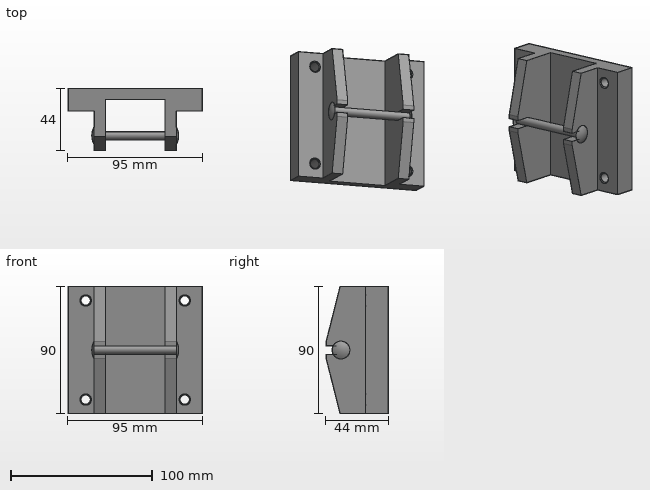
import cadquery as cq

plate_width = 95.0
plate_height = 90.0
plate_thickness = 16.0

channel_width = 42.0
channel_floor_thickness = 8.0

cheek_thickness = 8.0
cheek_reach = 44.0
cheek_end_reach = 34.15
cheek_nose_height = 12.0
cheek_span = channel_width + 2 * cheek_thickness

pin_diameter = 6.0
pin_distance = 33.5
head_diameter = 12.6
head_height = 1.75

hole_spacing = 70.0
hole_diameter = 6.6
countersink_diameter = 8.0
countersink_angle = 90.0


def make_plate():
    return cq.Workplane("XY").box(
        plate_width, plate_thickness, plate_height, centered=(True, False, True)
    ).translate((0, -plate_thickness, 0))


def make_cheek_block():
    """Solid block with the tapered side profile, as wide as both cheeks and the channel."""
    half_height = plate_height / 2
    half_nose = cheek_nose_height / 2
    profile = [
        (-channel_floor_thickness, -half_height),
        (-cheek_end_reach, -half_height),
        (-cheek_reach, -half_nose),
        (-cheek_reach, half_nose),
        (-cheek_end_reach, half_height),
        (-channel_floor_thickness, half_height),
    ]
    return cq.Workplane("YZ").polyline(profile).close().extrude(cheek_span / 2, both=True)


def make_channel():
    depth = cheek_reach - channel_floor_thickness
    return cq.Workplane("XY").box(
        channel_width, depth, plate_height, centered=(True, False, True)
    ).translate((0, -cheek_reach, 0))


def make_pin_slot():
    """Cutter for the round-ended slot, open at the cheek noses."""
    radius = pin_diameter / 2
    return (
        cq.Workplane("YZ")
        .moveTo(-cheek_reach, -radius)
        .lineTo(-pin_distance, -radius)
        .threePointArc((-pin_distance + radius, 0), (-pin_distance, radius))
        .lineTo(-cheek_reach, radius)
        .close()
        .extrude(cheek_span / 2, both=True)
    )


def make_bracket():
    body = make_plate().union(make_cheek_block())
    body = body.cut(make_channel()).cut(make_pin_slot())
    return (
        body.copyWorkplane(cq.Workplane("XZ", origin=(0, -plate_thickness, 0)))
        .rarray(hole_spacing, hole_spacing, 2, 2)
        .cskHole(hole_diameter, countersink_diameter, countersink_angle)
    )


def make_pin():
    """Shank with a domed head at each end, revolved about the shank axis."""
    shank_end = cheek_span / 2
    shank_radius = pin_diameter / 2
    head_radius = head_diameter / 2
    dome_radius = (head_radius**2 + head_height**2) / (2 * head_height)
    dome_center = shank_end + head_height - dome_radius
    mid_radius = head_radius / 2
    mid_x = dome_center + (dome_radius**2 - mid_radius**2) ** 0.5
    tip = shank_end + head_height
    return (
        cq.Workplane("XY")
        .moveTo(-tip, 0)
        .threePointArc((-mid_x, mid_radius), (-shank_end, head_radius))
        .lineTo(-shank_end, shank_radius)
        .lineTo(shank_end, shank_radius)
        .lineTo(shank_end, head_radius)
        .threePointArc((mid_x, mid_radius), (tip, 0))
        .close()
        .revolve(360, (0, 0, 0), (1, 0, 0))
        .translate((0, -pin_distance, 0))
    )


bracket = make_bracket().solids()
pin = make_pin()

result = cq.Compound.makeCompound([bracket.val(), pin.val()])